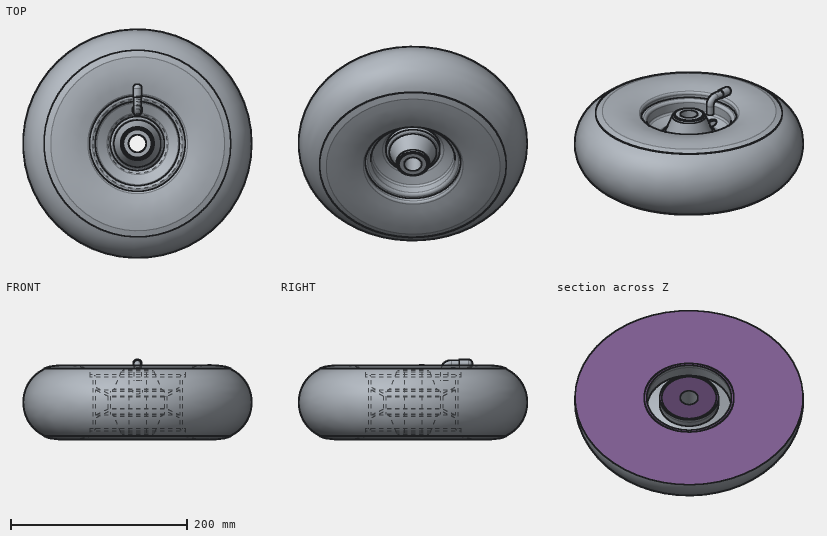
import cadquery as cq
import math


tyre_radius = 130.0
crown_z = 42.5
crown_radius = 78.0
band_outer_radius = 106.0
band_inner_radius = 98.8
tread_edge_z = 38.0
band_outer_z = 38.7
band_inner_z = 41.0
bead_radius = 54.3
bead_lip_radius = 56.7
bead_lip_z = 39.0
bead_round_z = 36.0
lip_bulge = 0.3

sheet = 2.9
barrel_radius = 47.8
flange_z = 32.0
flange_round_width = 4.0
flange_round_depth = 3.0
barrel_end_z = 19.2
dish_angle = 26.0
dish_outer_radius = 46.3
dish_outer_z = 16.6
dish_inner_radius = 34.8
throat_depth = 4.5
valve_hole_radius = 5.7
valve_hole_y = 38.0

hub_radius = 30.7
bore_radius = 10.0
hub_top_z = 37.2
tube_radius = 16.6
tube_chamfer = 0.8
shoulder_radius = 17.5
cone_top_radius = 19.0
cone_top_z = 34.5
cone_base_radius = 26.8
cone_base_z = 15.5
skirt_radius = 28.3
skirt_z = 14.3
hub_edge_z = 12.7

valve_y = 35.4
valve_radius = 4.2
valve_bottom_z = 25.2
valve_axis_z = 44.0
bend_radius = 8.0
cap_radius = 5.0
cap_start_y = 52.8
cap_end_y = 67.5
cap_round = 4.7

dish_tilt = math.radians(dish_angle)


def revolve(profile):
    """Turn a closed (radius, z) profile about the wheel axis."""
    return profile.close().revolve(360, (0, 0, 0), (0, 1, 0))


def make_tyre():
    barrel_outer = barrel_radius + sheet
    flange_under = flange_z - sheet
    lip_width = bead_lip_radius - bead_radius
    lip_height = bead_lip_z - bead_round_z
    lip_mid = (bead_radius + lip_bulge * lip_width, bead_lip_z - lip_bulge * lip_height)
    return revolve(
        cq.Workplane("XZ")
        .moveTo(barrel_outer, -flange_under)
        .lineTo(barrel_outer, flange_under)
        .lineTo(bead_radius, flange_under)
        .lineTo(bead_radius, bead_round_z)
        .threePointArc(lip_mid, (bead_lip_radius, bead_lip_z))
        .threePointArc((crown_radius, crown_z), (band_inner_radius, band_inner_z))
        .lineTo(band_outer_radius, band_outer_z)
        .lineTo(band_outer_radius, tread_edge_z)
        .threePointArc((tyre_radius, 0), (band_outer_radius, -tread_edge_z))
        .lineTo(band_outer_radius, -band_outer_z)
        .lineTo(band_inner_radius, -band_inner_z)
        .threePointArc((crown_radius, -crown_z), (bead_lip_radius, -bead_lip_z))
        .threePointArc((lip_mid[0], -lip_mid[1]), (bead_radius, -bead_round_z))
        .lineTo(bead_radius, -flange_under)
    )


def dish_z(radius):
    """Height of the dished disc's upper face."""
    return dish_outer_z - (dish_outer_radius - radius) * math.tan(dish_tilt)


def make_rim():
    collar_radius = hub_radius + sheet
    barrel_outer = barrel_radius + sheet
    disc_height = sheet / math.cos(dish_tilt)
    upper_half = revolve(
        cq.Workplane("XZ")
        .moveTo(barrel_outer, 0)
        .lineTo(barrel_outer, flange_z - sheet)
        .lineTo(bead_radius, flange_z - sheet)
        .lineTo(bead_radius, flange_z)
        .lineTo(barrel_radius + flange_round_width, flange_z)
        .tangentArcPoint((barrel_radius, flange_z - flange_round_depth), relative=False)
        .lineTo(barrel_radius, barrel_end_z)
        .tangentArcPoint((dish_outer_radius, dish_outer_z), relative=False)
        .lineTo(dish_inner_radius, dish_z(dish_inner_radius))
        .tangentArcPoint((hub_radius, dish_z(dish_inner_radius) - throat_depth), relative=False)
        .lineTo(hub_radius, 0)
        .lineTo(collar_radius, 0)
        .lineTo(collar_radius, dish_z(collar_radius) - disc_height)
        .lineTo(barrel_radius, dish_z(barrel_radius) - disc_height)
        .lineTo(barrel_radius, 0)
    )
    return upper_half.union(upper_half.mirror("XY")).cut(valve_hole())


def valve_hole():
    """Cutter for the hole through the upper disc, square to its sloping face."""
    return (
        cq.Workplane("XY", origin=(0, valve_hole_y, dish_z(valve_hole_y)))
        .transformed(rotate=(dish_angle, 0, 0))
        .circle(valve_hole_radius)
        .extrude(2 * sheet, both=True)
    )


def make_hub():
    upper_half = revolve(
        cq.Workplane("XZ")
        .moveTo(bore_radius, 0)
        .lineTo(bore_radius, hub_top_z)
        .lineTo(tube_radius - tube_chamfer, hub_top_z)
        .lineTo(tube_radius, hub_top_z - tube_chamfer)
        .lineTo(shoulder_radius, hub_top_z - tube_chamfer)
        .lineTo(cone_top_radius, cone_top_z)
        .lineTo(cone_base_radius, cone_base_z)
        .lineTo(skirt_radius, skirt_z)
        .lineTo(hub_radius, hub_edge_z)
        .lineTo(hub_radius, 0)
    )
    return upper_half.union(upper_half.mirror("XY"))


def make_valve():
    path = (
        cq.Workplane("YZ")
        .moveTo(valve_y, valve_bottom_z)
        .lineTo(valve_y, valve_axis_z - bend_radius)
        .tangentArcPoint((valve_y + bend_radius, valve_axis_z), relative=False)
        .lineTo(cap_start_y, valve_axis_z)
    )
    tube = cq.Workplane("XY", origin=(0, valve_y, valve_bottom_z)).circle(valve_radius).sweep(path)
    cap = (
        cq.Workplane("XZ", origin=(0, cap_start_y, valve_axis_z))
        .circle(cap_radius)
        .extrude(cap_start_y - cap_end_y)
        .faces(">Y").edges().fillet(cap_round)
    )
    return tube.union(cap)


tyre = make_tyre()
rim = make_rim()
hub = make_hub()
valve = make_valve()

result = cq.Compound.makeCompound([tyre.val(), rim.val(), hub.val(), valve.val()])